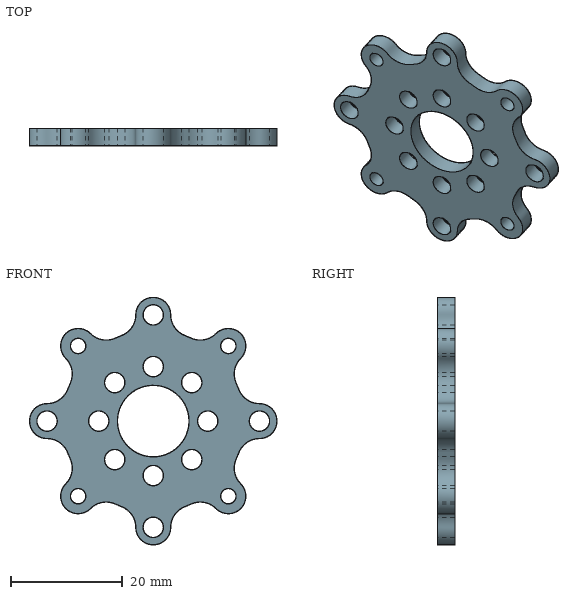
import cadquery as cq
import math

lobe_count = 8
outer_diameter = 44.35
thickness = 3.15
lobe_radius = 3.15
lobe_circle_radius = outer_diameter / 2 - lobe_radius
fillet_radius = 3.95

bore_diameter = 12.8
large_hole_diameter = 3.6
small_hole_diameter = 2.7
inner_hole_circle_radius = 9.75

lobe_pitch = 360 / lobe_count
half_pitch = lobe_pitch / 2


def place(radial, tangential, angle):
    """Point given in a lobe's own radial and tangential directions."""
    a = math.radians(angle)
    return (
        radial * math.cos(a) - tangential * math.sin(a),
        radial * math.sin(a) + tangential * math.cos(a),
    )


def fillet_point(turn, side, angle):
    """Point on the fillet beside a lobe, turned from the lobe flank toward the hub."""
    t = math.radians(turn)
    radial = lobe_circle_radius - fillet_radius * math.sin(t)
    tangential = lobe_radius + fillet_radius * (1 - math.cos(t))
    return place(radial, side * tangential, angle)


def back_face():
    """Sketch plane on the +Y face; extrusions from it run toward -Y."""
    return cq.Workplane("XZ", origin=(0, thickness / 2, 0))


def make_plate():
    full_turn = 90 - half_pitch
    outline = back_face().moveTo(*fillet_point(full_turn, -1, 0))
    for i in range(lobe_count):
        angle = i * lobe_pitch
        outline = (
            outline
            .threePointArc(fillet_point(full_turn / 2, -1, angle), fillet_point(0, -1, angle))
            .threePointArc(place(outer_diameter / 2, 0, angle), fillet_point(0, 1, angle))
            .threePointArc(fillet_point(full_turn / 2, 1, angle), fillet_point(full_turn, 1, angle))
        )
        if i < lobe_count - 1:
            outline = outline.lineTo(*fillet_point(full_turn, -1, angle + lobe_pitch))
    return outline.close().extrude(thickness)


def hole_ring(circle_radius, start_angle, count, diameter):
    return (
        back_face()
        .polarArray(circle_radius, start_angle, 360, count)
        .circle(diameter / 2)
        .extrude(thickness)
    )


bore = back_face().circle(bore_diameter / 2).extrude(thickness)

result = (
    make_plate()
    .cut(bore)
    .cut(hole_ring(inner_hole_circle_radius, 0, lobe_count, large_hole_diameter))
    .cut(hole_ring(lobe_circle_radius, 0, lobe_count // 2, large_hole_diameter))
    .cut(hole_ring(lobe_circle_radius, lobe_pitch, lobe_count // 2, small_hole_diameter))
)